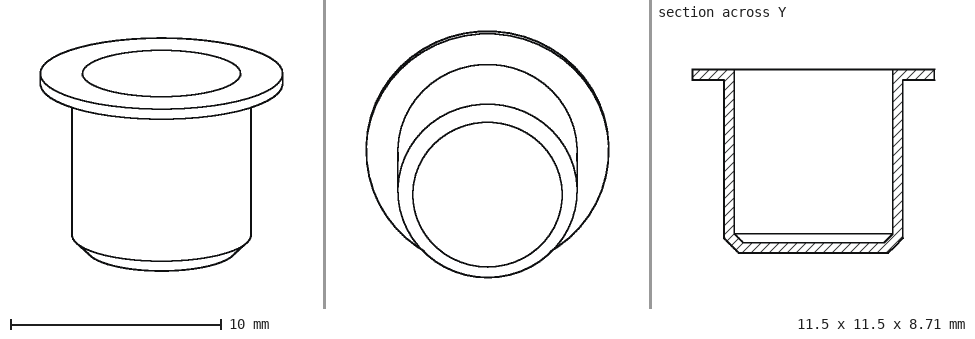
import cadquery as cq
import math

straight_height = 8.0
flange_diameter = 11.5
body_diameter = 8.5
wall = 0.5
chamfer_slant = 1.0

chamfer = chamfer_slant / math.sqrt(2)
height = straight_height + chamfer
flange_radius = flange_diameter / 2
outer_radius = body_diameter / 2
inner_radius = outer_radius - wall
inner_bevel = chamfer - wall * (2 - math.sqrt(2))


def flanged_cup():
    """Revolve the half section of the cup (radius, height) about the Z axis."""
    half_section = (
        cq.Workplane("XZ")
        .moveTo(0, 0)
        .lineTo(outer_radius - chamfer, 0)
        .lineTo(outer_radius, chamfer)
        .lineTo(outer_radius, height - wall)
        .lineTo(flange_radius, height - wall)
        .lineTo(flange_radius, height)
        .lineTo(inner_radius, height)
        .lineTo(inner_radius, wall + inner_bevel)
        .lineTo(inner_radius - inner_bevel, wall)
        .lineTo(0, wall)
        .close()
    )
    return half_section.revolve(360, (0, 0, 0), (0, 1, 0))


result = flanged_cup()